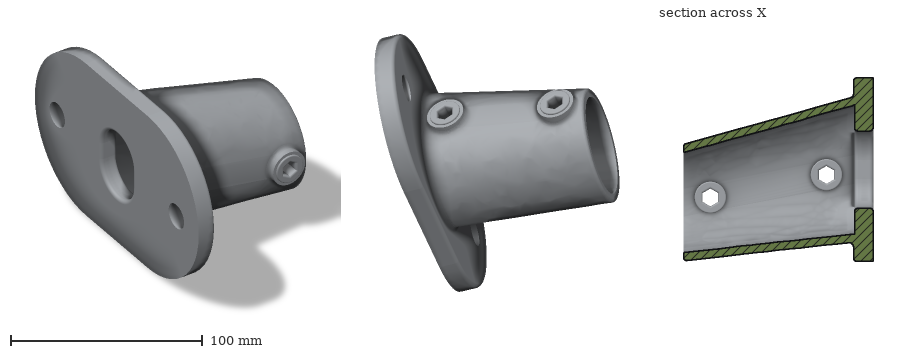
import cadquery as cq
import math

plate_length = 154.0
plate_height = 96.0
plate_thickness = 10.5
plate_edge_radius = 2.0

mount_hole_diameter = 14.5
mount_hole_spacing = 112.0

window_width = 30.0
window_height = 40.0
window_edge_radius = 2.0
window_depth = 10.0

socket_width = 61.0
socket_root_height = 76.0
socket_end_y = 99.0
socket_tilt = math.radians(11.0)
socket_wall = 4.5
socket_end_radius = 1.5
socket_root_radius = 2.0

boss_diameter = 20.0
boss_face_x = 34.5
boss_root_radius = 2.0

screw_diameter = 16.5
screw_face_diameter = 15.25
screw_length = 13.0
screw_protrusion = 1.0
hex_across_flats = 8.0
hex_edge_radius = 1.0
screw_depths = (24.5, 85.0)

screw_outer_x = boss_face_x + screw_protrusion
screw_inner_x = screw_outer_x - screw_length
screw_edge_radius = (screw_diameter - screw_face_diameter) / 2
hex_across_corners = hex_across_flats / math.cos(math.radians(30))

pick_margin = 0.1


def socket_center_z(y):
    """Height of the tilted socket's middle line at depth y."""
    return -(y - plate_thickness) * math.tan(socket_tilt)


def plane_facing_y(y, z=0.0):
    """Sketch plane at depth y that faces +Y, with its own upright axis along +Z."""
    return cq.Workplane(cq.Plane(origin=(0, y, z), xDir=(-1, 0, 0), normal=(0, 1, 0)))


def plane_facing_x(x, y):
    """Sketch plane at x that faces +X, centred on the socket's middle line, first axis downward."""
    return cq.Workplane(cq.Plane(origin=(x, y, socket_center_z(y)), xDir=(0, 0, -1), normal=(1, 0, 0)))


def cylinder_along_x(y, diameter, x_start, x_end):
    return plane_facing_x(x_start, y).circle(diameter / 2).extrude(x_end - x_start)


def edges_in_box(body, low, high):
    """Edges of the body that lie wholly between two corner points."""
    low = tuple(value - pick_margin for value in low)
    high = tuple(value + pick_margin for value in high)
    return body.edges(cq.selectors.BoxSelector(low, high, boundingbox=True))


def socket_blend(start_y, inset):
    """Loft from a stadium at start_y to the circle at the open end, both shrunk by inset."""
    radius = socket_width / 2 - inset
    root_straight = socket_root_height - socket_width
    straight = root_straight * (socket_end_y - start_y) / (socket_end_y - plate_thickness)
    start_z = socket_center_z(start_y)
    return (
        plane_facing_y(start_y, start_z)
        .slot2D(straight + 2 * radius, 2 * radius, 90)
        .workplane(offset=socket_end_y - start_y)
        .center(0, socket_center_z(socket_end_y) - start_z)
        .circle(radius)
        .loft(ruled=True)
    )


def make_plate():
    plate = plane_facing_y(0).slot2D(plate_length, plate_height).extrude(plate_thickness)
    return plate.faces(">Y").edges().fillet(plate_edge_radius)


def add_socket(body):
    """Join the solid socket to the plate and fillet its root."""
    socket = socket_blend(plate_thickness, 0).faces(">Y").edges().fillet(socket_end_radius)
    half_width = socket_width / 2
    half_height = socket_root_height / 2
    root = edges_in_box(
        body.union(socket),
        (-half_width, plate_thickness, -half_height),
        (half_width, plate_thickness, half_height),
    )
    return root.fillet(socket_root_radius)


def add_boss(body, y):
    """Join one screw boss to the socket's side and fillet its root."""
    radius = boss_diameter / 2
    z = socket_center_z(y)
    root = edges_in_box(
        body.union(cylinder_along_x(y, boss_diameter, 0, boss_face_x)),
        (socket_width / 4, y - radius, z - radius),
        (socket_width / 2, y + radius, z + radius),
    )
    return root.fillet(boss_root_radius)


def cut_cavity(body):
    """Hollow the socket, then cut the window with both of its rims rounded over."""
    body = body.cut(socket_blend(window_depth, socket_wall))
    body = body.cut(plane_facing_y(0).slot2D(window_height, window_width, 90).extrude(window_depth))
    half_width = window_width / 2
    half_height = window_height / 2
    rims = edges_in_box(
        body,
        (-half_width, 0, -half_height),
        (half_width, window_depth, half_height),
    )
    flat_rims = rims.filter(lambda edge: edge.BoundingBox().ylen < pick_margin)
    return flat_rims.fillet(window_edge_radius)


def cut_mount_holes(body):
    holes = (
        plane_facing_y(0)
        .rarray(mount_hole_spacing, 1, 2, 1)
        .circle(mount_hole_diameter / 2)
        .extrude(plate_thickness)
    )
    return body.cut(holes)


def make_housing():
    body = add_socket(make_plate())
    for y in screw_depths:
        body = add_boss(body, y)
    body = cut_cavity(body)
    body = cut_mount_holes(body)
    for y in screw_depths:
        body = body.cut(cylinder_along_x(y, screw_diameter, 0, boss_face_x))
    return body


def make_set_screw(y):
    """One set screw with rounded ends and a through hexagon that stands on a corner."""
    screw = cylinder_along_x(y, screw_diameter, screw_inner_x, screw_outer_x)
    screw = screw.edges("%CIRCLE").fillet(screw_edge_radius)
    hexagon = plane_facing_x(screw_inner_x, y).polygon(6, hex_across_corners).extrude(screw_length)
    screw = screw.cut(hexagon)
    return screw.faces("<X or >X").edges("%LINE").fillet(hex_edge_radius)


housing = make_housing()
set_screws = [make_set_screw(y) for y in screw_depths]

result = cq.Compound.makeCompound([housing.val(), *[screw.val() for screw in set_screws]])